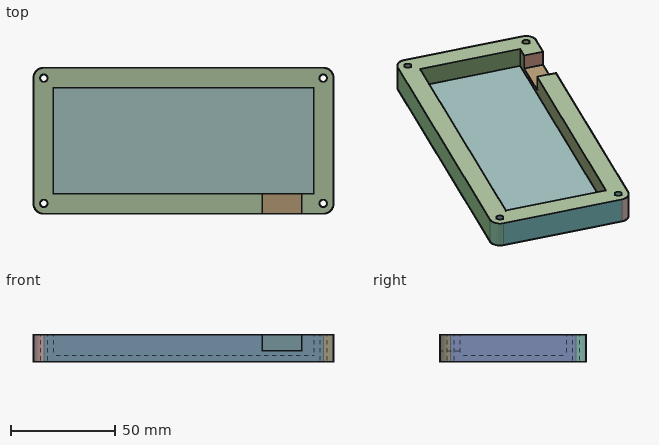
import cadquery as cq

length = 143.8
width = 70.0
height = 13.0
corner_radius = 5.0

wall = 9.6
pocket_length = length - 2 * wall
pocket_width = width - 2 * wall
pocket_depth = 9.9

hole_diameter = 3.5
hole_spacing_x = length - 2 * corner_radius
hole_spacing_y = width - 2 * corner_radius

notch_width = 18.7
notch_depth = 7.6
notch_right_margin = 15.4
notch_center_x = length / 2 - notch_right_margin - notch_width / 2
notch_center_y = -(width - wall) / 2


def cutter_from_top(size_x, size_y, depth, center_x=0.0, center_y=0.0):
    """Block reaching down from the top face by the given depth."""
    return (
        cq.Workplane("XY")
        .box(size_x, size_y, depth, centered=(True, True, False))
        .translate((center_x, center_y, height - depth))
    )


body = (
    cq.Workplane("XY")
    .box(length, width, height, centered=(True, True, False))
    .edges("|Z")
    .fillet(corner_radius)
)

pocket = cutter_from_top(pocket_length, pocket_width, pocket_depth)
notch = cutter_from_top(notch_width, wall, notch_depth, notch_center_x, notch_center_y)

screw_holes = (
    cq.Workplane("XY")
    .rect(hole_spacing_x, hole_spacing_y, forConstruction=True)
    .vertices()
    .circle(hole_diameter / 2)
    .extrude(height)
)

result = body.cut(pocket).cut(notch).cut(screw_holes)